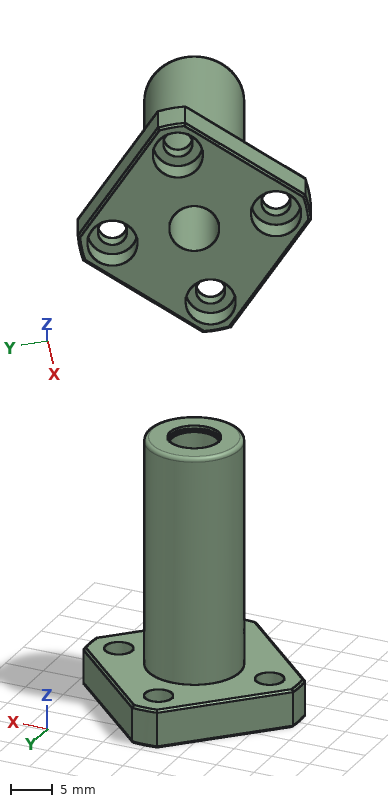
import cadquery as cq

total_height = 35.0
barrel_diameter = 12.0
barrel_top_fillet = 0.52

flange_thickness = 5.0
flange_width = 22.0
flange_diameter = 28.0
flange_chamfer = 0.28

hole_diameter = 3.5
hole_circle_diameter = 20.0
hole_count = 4

counterbore_diameter = 6.0
counterbore_depth = 3.1

bore_diameter = 6.0
mouth_diameter = 6.4
mouth_depth = 0.42
groove_diameter = 6.8
groove_width = 0.35


def cylinder(diameter, bottom, height):
    return cq.Workplane("XY").workplane(offset=bottom).circle(diameter / 2).extrude(height)


def make_flange():
    square = (
        cq.Workplane("XY")
        .rect(flange_width, flange_width)
        .extrude(flange_thickness)
        .rotate((0, 0, 0), (0, 0, 1), 45)
    )
    disc = cylinder(flange_diameter, 0, flange_thickness)
    return square.intersect(disc).faces("<Z or >Z").chamfer(flange_chamfer)


def make_barrel():
    barrel = cylinder(barrel_diameter, 0, total_height)
    return barrel.faces(">Z").edges().fillet(barrel_top_fillet)


def make_hole_pattern(diameter, depth):
    """Cylinders rising from the underside of the flange at every screw position."""
    return (
        cq.Workplane("XY")
        .polarArray(hole_circle_diameter / 2, 0, 360, hole_count)
        .circle(diameter / 2)
        .extrude(depth)
    )


def make_bore():
    mouth_bottom = total_height - mouth_depth
    bore = cylinder(bore_diameter, 0, total_height)
    mouth = cylinder(mouth_diameter, mouth_bottom, mouth_depth)
    groove = cylinder(groove_diameter, mouth_bottom - groove_width, groove_width)
    return bore.union(mouth).union(groove)


result = (
    make_flange()
    .union(make_barrel())
    .cut(make_hole_pattern(hole_diameter, flange_thickness))
    .cut(make_hole_pattern(counterbore_diameter, counterbore_depth))
    .cut(make_bore())
)